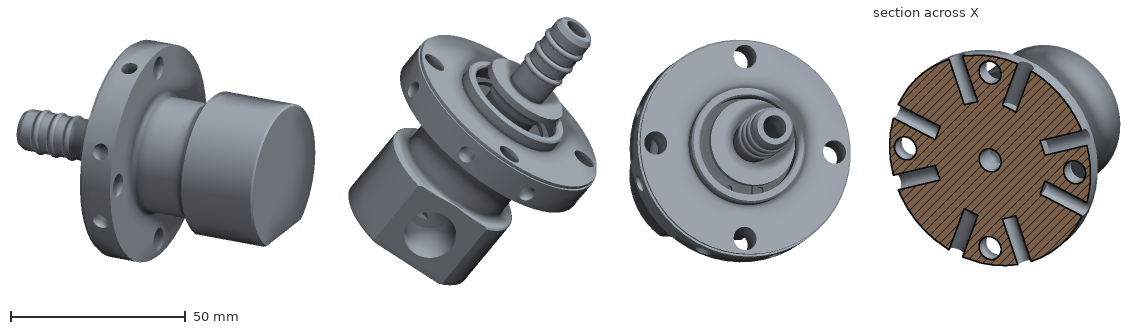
import cadquery as cq
import math


total_length = 82.6
washer_x = 23.95
washer_thickness = 2.1
washer_back_x = washer_x + washer_thickness
spigot_x = 28.9
flange_x = 32.7
flange_step_x = 33.7
flange_back_x = 42.6
collar_x = 59.8

nipple_radius = 12.0 / 2
nipple_tip_length = 1.65
nipple_tip_radius = 5.1
relief_radius = 11.8 / 2
relief_taper_x = 23.05
relief_neck_x = 23.5
relief_face_radius = 6.85
relief_depth = 0.2
bore_radius = 6.8 / 2

ring_section_radius = 1.8 / 2
ring_groove_radius = 9.5 / 2
ring_pitch = 4.95
ring_groove_width = 2.4
first_ring_groove_x = 4.7
ring_count = 3
ring_groove_starts = [first_ring_groove_x + i * ring_pitch for i in range(ring_count)]

washer_radius = 25.0 / 2
hub_radius = 17.5 / 2
hub_step_x = 30.0
hub_neck_radius = 15.9 / 2
recess_radius = 28.6 / 2
recess_mouth_chamfer = 0.5
recess_floor_x = 34.5
clip_thickness = 1.2
clip_face_x = recess_floor_x - clip_thickness
clip_inner_radius = 12.4
clip_lug_top_z = -9.25
clip_gap_width = 4.8
clip_hole_radius = 2.0 / 2
clip_hole_y = 4.6
clip_hole_z = -12.15

barrel_radius = 33.5 / 2
spigot_chamfer = 0.5
flange_radius = 63.2 / 2
flange_face_radius = 62.0 / 2
barrel_fillet = 1.5
collar_radius = 21.1
collar_chamfer = 0.5
collar_flat_z = -17.3

bolt_hole_radius = 6.8 / 2
bolt_circle_radius = 26.5
bolt_count = 4
spanner_hole_radius = 4.8 / 2
spanner_hole_depth = 14.05
spanner_hole_x = 38.65
spanner_offset_angle = 20
spanner_pair_spacing = 90

port_radius = 14.95 / 2
port_x = (collar_x + total_length) / 2
port_shoulder_z = 0.9
drill_half_angle = math.radians(59)
bore_full_end_x = port_x + 4.7


def turned(profile):
    """Revolve a closed (x, radius) sketch about the X axis."""
    return profile.close().revolve(360, (0, 0, 0), (1, 0, 0))


def drill_tip_length(radius):
    return radius / math.tan(drill_half_angle)


def make_turned_body():
    """Nipple, washer, hub, spigot, flange, barrel and collar as one outline."""
    profile = (
        cq.Workplane("XY")
        .moveTo(0, 0)
        .lineTo(0, nipple_tip_radius)
        .lineTo(nipple_tip_length, nipple_radius)
        .lineTo(relief_taper_x, nipple_radius)
        .lineTo(relief_neck_x, relief_radius)
        .lineTo(washer_x + relief_depth, relief_radius)
        .lineTo(washer_x, relief_face_radius)
        .lineTo(washer_x, washer_radius)
        .lineTo(washer_back_x, washer_radius)
        .lineTo(washer_back_x, hub_radius)
        .lineTo(hub_step_x, hub_radius)
        .lineTo(hub_step_x, hub_neck_radius)
        .lineTo(recess_floor_x, hub_neck_radius)
        .lineTo(recess_floor_x, recess_radius)
        .lineTo(spigot_x + recess_mouth_chamfer, recess_radius)
        .lineTo(spigot_x, recess_radius + recess_mouth_chamfer)
        .lineTo(spigot_x, barrel_radius - spigot_chamfer)
        .lineTo(spigot_x + spigot_chamfer, barrel_radius)
        .lineTo(flange_x, barrel_radius)
        .lineTo(flange_x, flange_face_radius)
        .lineTo(flange_step_x, flange_face_radius)
        .lineTo(flange_step_x, flange_radius)
        .lineTo(flange_back_x, flange_radius)
        .lineTo(flange_back_x, barrel_radius + barrel_fillet)
        .radiusArc((flange_back_x + barrel_fillet, barrel_radius), -barrel_fillet)
        .lineTo(collar_x - barrel_fillet, barrel_radius)
        .radiusArc((collar_x, barrel_radius + barrel_fillet), -barrel_fillet)
        .lineTo(collar_x, collar_radius - collar_chamfer)
        .lineTo(collar_x + collar_chamfer, collar_radius)
        .lineTo(total_length - collar_chamfer, collar_radius)
        .lineTo(total_length, collar_radius - collar_chamfer)
        .lineTo(total_length, 0)
    )
    return turned(profile)


def make_ring_groove(start_x):
    return (
        cq.Workplane("YZ", origin=(start_x, 0, 0))
        .circle(nipple_radius)
        .circle(ring_groove_radius)
        .extrude(ring_groove_width)
    )


def make_bore():
    """Axial passage with a conical drill tip inside the collar."""
    profile = (
        cq.Workplane("XY")
        .moveTo(0, 0)
        .lineTo(0, bore_radius)
        .lineTo(bore_full_end_x, bore_radius)
        .lineTo(bore_full_end_x + drill_tip_length(bore_radius), 0)
    )
    return turned(profile)


def make_port():
    """Radial hole with a conical drill tip, entering through the collar flat."""
    profile = (
        cq.Workplane("XZ", origin=(port_x, 0, 0))
        .moveTo(0, -collar_radius)
        .lineTo(port_radius, -collar_radius)
        .lineTo(port_radius, port_shoulder_z)
        .lineTo(0, port_shoulder_z + drill_tip_length(port_radius))
        .close()
    )
    return profile.revolve(360, (0, 0, 0), (0, 1, 0))


def make_flat_cut():
    """Block that leaves a flat under the collar and trims the fillet beside it."""
    start_x = collar_x - barrel_fillet
    height = collar_radius + collar_flat_z
    block = cq.Workplane("XY").box(
        total_length - start_x, 2 * collar_radius, height, centered=(False, True, False)
    )
    return block.translate((start_x, 0, -collar_radius))


def make_bolt_holes():
    return (
        cq.Workplane("YZ", origin=(flange_x, 0, 0))
        .polarArray(bolt_circle_radius, 0, 360, bolt_count)
        .circle(bolt_hole_radius)
        .extrude(flange_back_x - flange_x)
    )


def make_spanner_hole(angle):
    """Blind radial hole in the flange rim, turned by an angle from the +Y axis."""
    return (
        cq.Workplane("XZ", origin=(spanner_hole_x, flange_radius, 0))
        .circle(spanner_hole_radius)
        .extrude(spanner_hole_depth)
        .rotate((0, 0, 0), (1, 0, 0), angle)
    )


def make_clip_ledge():
    """Ledge on the recess floor, shaped like a retaining ring with two lugs and plier holes."""
    face = cq.Workplane("YZ", origin=(clip_face_x, 0, 0))
    lug_depth = recess_radius + clip_lug_top_z
    lug_zone = face.center(0, clip_lug_top_z - lug_depth / 2)

    lugs = lug_zone.rect(2 * recess_radius, lug_depth).extrude(clip_thickness)
    gap = lug_zone.rect(clip_gap_width, lug_depth).extrude(clip_thickness)
    opening = face.circle(clip_inner_radius).extrude(clip_thickness).cut(lugs)
    holes = face.pushPoints([(-clip_hole_y, clip_hole_z), (clip_hole_y, clip_hole_z)])
    holes = holes.circle(clip_hole_radius).extrude(clip_thickness)
    return face.circle(recess_radius).extrude(clip_thickness).cut(opening).cut(gap).cut(holes)


def make_rotary_union():
    body = make_turned_body().union(make_clip_ledge())
    for start_x in ring_groove_starts:
        body = body.cut(make_ring_groove(start_x))
    body = body.cut(make_flat_cut()).cut(make_port()).cut(make_bore())
    body = body.cut(make_bolt_holes())
    for pair_angle in range(0, 360, spanner_pair_spacing):
        for offset in (-spanner_offset_angle, spanner_offset_angle):
            body = body.cut(make_spanner_hole(pair_angle + offset))
    return body


def make_o_ring(groove_start_x):
    """O-ring resting on the groove floor and against the groove wall nearest the washer."""
    center_x = groove_start_x + ring_groove_width - ring_section_radius
    center_radius = ring_groove_radius + ring_section_radius
    section = cq.Workplane("XY").center(center_x, center_radius).circle(ring_section_radius)
    return section.revolve(360, (0, -center_radius, 0), (1, -center_radius, 0))


rotary_union = make_rotary_union()
o_rings = [make_o_ring(start_x) for start_x in ring_groove_starts]

result = cq.Compound.makeCompound([rotary_union.val(), *[ring.val() for ring in o_rings]])